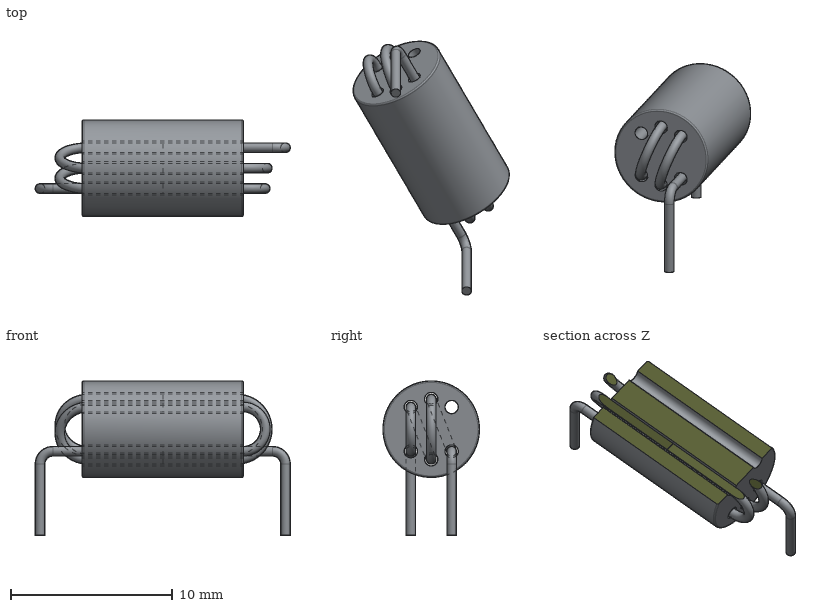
import cadquery as cq
import math

CORE_DIAMETER = 6.0
CORE_LENGTH = 10.0
CORE_EDGE_ROUNDING = 0.1
HOLE_DIAMETER = 0.8
HOLE_RING_RADIUS = 1.87
HOLE_SIDE_OFFSET = 1.27

WIRE_DIAMETER = 0.6
LEAD_SPAN = 15.84
LEAD_BEND_RADIUS = 0.79
LEAD_END_Z = -6.59
SLANTED_TURN_REACH = 1.4
SIDE_TURN_REACH = 1.36
MIDDLE_TURN_REACH = 1.49

core_face_x = CORE_LENGTH / 2
side_hole_z = math.sqrt(HOLE_RING_RADIUS**2 - HOLE_SIDE_OFFSET**2)
lead_x = (LEAD_SPAN - WIRE_DIAMETER) / 2

front_top = (-HOLE_SIDE_OFFSET, side_hole_z)
front_bottom = (-HOLE_SIDE_OFFSET, -side_hole_z)
middle_top = (0, HOLE_RING_RADIUS)
middle_bottom = (0, -HOLE_RING_RADIUS)
back_top = (HOLE_SIDE_OFFSET, side_hole_z)
back_bottom = (HOLE_SIDE_OFFSET, -side_hole_z)
hole_centres = [front_top, front_bottom, middle_top, middle_bottom, back_top, back_bottom]


def make_core():
    """Cylinder with rounded rims, centred on the origin, with all wire holes cut through."""
    blank = (
        cq.Workplane("YZ", origin=(-core_face_x, 0, 0))
        .circle(CORE_DIAMETER / 2)
        .extrude(CORE_LENGTH)
        .edges("%CIRCLE")
        .fillet(CORE_EDGE_ROUNDING)
    )
    holes = (
        cq.Workplane("YZ", origin=(-core_face_x, 0, 0))
        .pushPoints(hole_centres)
        .circle(HOLE_DIAMETER / 2)
        .extrude(CORE_LENGTH)
    )
    return blank.cut(holes)


def sweep_wire(path_edges, start):
    """Round wire along a path that leaves the core mid-plane at start (Y, Z)."""
    path = cq.Workplane(cq.Wire.assembleEdges(path_edges))
    return cq.Workplane("YZ").center(*start).circle(WIRE_DIAMETER / 2).sweep(path)


def make_lead(side, hole):
    """Lead from the core mid-plane out through a hole, bent down; side is -1 or +1 along X."""
    y, z = hole
    bend_start_x = lead_x - LEAD_BEND_RADIUS
    bend_middle_x = bend_start_x + LEAD_BEND_RADIUS * math.sin(math.pi / 4)
    bend_middle_z = z - LEAD_BEND_RADIUS * (1 - math.cos(math.pi / 4))

    inner = cq.Vector(0, y, z)
    bend_start = cq.Vector(side * bend_start_x, y, z)
    bend_middle = cq.Vector(side * bend_middle_x, y, bend_middle_z)
    bend_end = cq.Vector(side * lead_x, y, z - LEAD_BEND_RADIUS)
    tip = cq.Vector(side * lead_x, y, LEAD_END_Z)
    edges = [
        cq.Edge.makeLine(inner, bend_start),
        cq.Edge.makeThreePointArc(bend_start, bend_middle, bend_end),
        cq.Edge.makeLine(bend_end, tip),
    ]
    return sweep_wire(edges, hole)


def make_turn(side, upper_hole, lower_hole, reach):
    """U-shaped turn: two straight legs from the core mid-plane and a half circle between them."""
    upper_inner = cq.Vector(0, *upper_hole)
    lower_inner = cq.Vector(0, *lower_hole)
    arc_radius = (upper_inner - lower_inner).Length / 2
    leg = cq.Vector(side * (core_face_x + reach - arc_radius), 0, 0)
    upper_end = upper_inner + leg
    lower_end = lower_inner + leg
    arc_middle = (upper_end + lower_end) * 0.5 + cq.Vector(side * arc_radius, 0, 0)
    edges = [
        cq.Edge.makeLine(upper_inner, upper_end),
        cq.Edge.makeThreePointArc(upper_end, arc_middle, lower_end),
        cq.Edge.makeLine(lower_end, lower_inner),
    ]
    return sweep_wire(edges, upper_hole)


core = make_core()

leads = [make_lead(side, hole) for side, hole in [(-1, front_bottom), (1, back_bottom)]]

turn_places = [
    (1, front_top, front_bottom, SIDE_TURN_REACH),
    (-1, front_top, middle_bottom, SLANTED_TURN_REACH),
    (1, middle_top, middle_bottom, MIDDLE_TURN_REACH),
    (-1, middle_top, back_bottom, SLANTED_TURN_REACH),
]
turns = [make_turn(*place) for place in turn_places]

result = cq.Compound.makeCompound([body.val() for body in [core, *leads, *turns]])